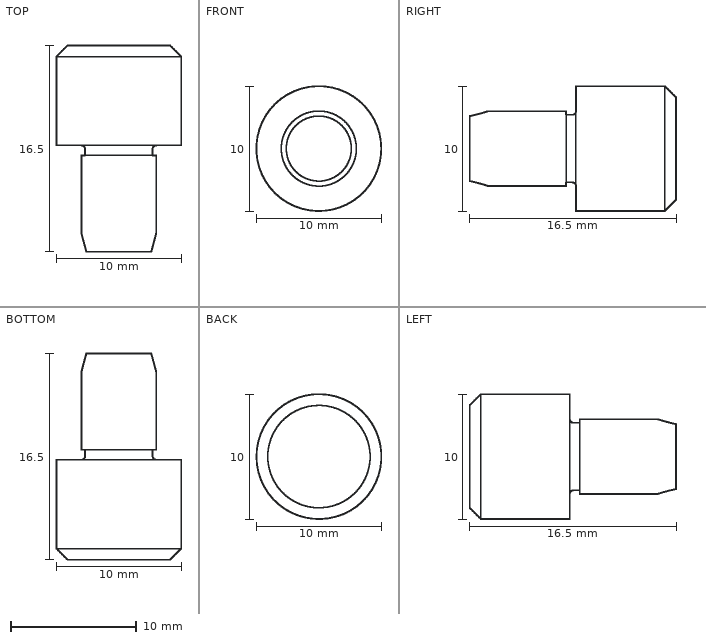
import cadquery as cq
import math

total_length = 16.5
head_radius = 5.0
head_length = 8.0
head_chamfer = 0.9
shank_radius = 3.0
neck_radius = 2.7
neck_length = 0.8
neck_fillet = 0.3
tip_length = 1.5
tip_angle = 15.0

head_top = head_length
tip_end = head_length - total_length
tip_start = tip_end + tip_length
tip_radius = shank_radius - tip_length * math.tan(math.radians(tip_angle))

fillet_sag = neck_fillet * (1 - math.sqrt(0.5))
fillet_middle = (neck_radius + fillet_sag, -fillet_sag)

profile = (
    cq.Workplane("XY")
    .moveTo(0, tip_end)
    .lineTo(tip_radius, tip_end)
    .lineTo(shank_radius, tip_start)
    .lineTo(shank_radius, -neck_length)
    .lineTo(neck_radius, -neck_length)
    .lineTo(neck_radius, -neck_fillet)
    .threePointArc(fillet_middle, (neck_radius + neck_fillet, 0))
    .lineTo(head_radius, 0)
    .lineTo(head_radius, head_top - head_chamfer)
    .lineTo(head_radius - head_chamfer, head_top)
    .lineTo(0, head_top)
    .close()
)

result = profile.revolve(360, (0, 0, 0), (0, 1, 0))